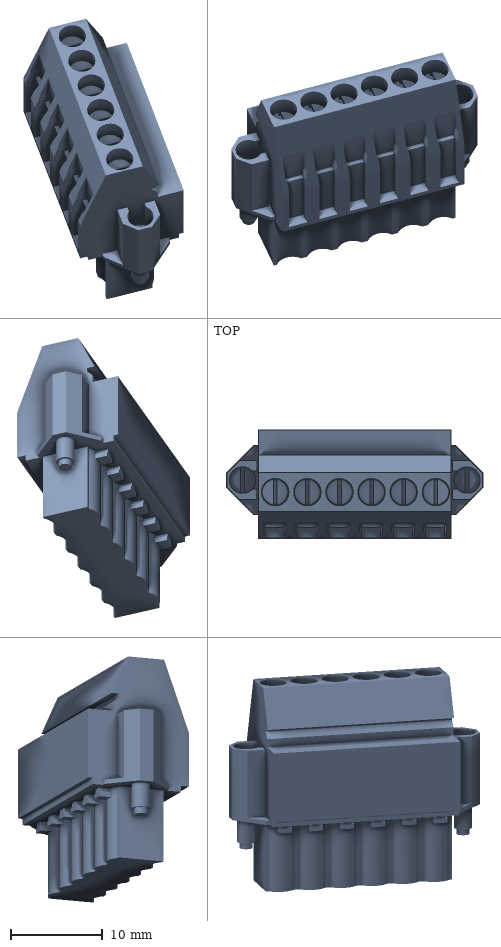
import cadquery as cq


POLE_COUNT = 6
OVERALL_LENGTH = 27.95
HOUSING_LENGTH = 21.0
POLE_PITCH = HOUSING_LENGTH / POLE_COUNT
HOUSING_END = HOUSING_LENGTH / 2
POLE_POSITIONS = [(index - (POLE_COUNT - 1) / 2) * POLE_PITCH for index in range(POLE_COUNT)]

BASE_Z = 7.95
STEP_Z = 8.65
FRONT_SLOPE_Z = 14.6
SHELF_Z = 16.37
TOP_Z = 22.6
FRONT_Y = -6.35
BACK_Y = 5.48
STEP_FRONT_Y = -5.4
STEP_BACK_Y = 4.95
TOP_FRONT_Y = -3.4
TOP_BACK_Y = 0.8
NECK_Y = 2.51
GROOVE_Y = 1.85
GROOVE_BOTTOM_Z = 17.27
GROOVE_CORNER_Z = 17.95
GROOVE_TOP_Z = 18.35
LIP_Y = 2.75

PLUG_FRONT_Y = -3.32
PLUG_BACK_Y = 1.93
FLUTE_WIDTH = 2.8
FLUTE_DEPTH = 0.65
RIB_HEIGHT = 0.6

TAB_BACK_Y = 3.77
TAB_FLANGE_WIDTH = 1.45
TAB_WEB_WIDTH = 0.9
TAB_BOTTOM_Z = 6.93
TAB_WEB_Z = 7.52

ENTRY_WIDTH = 2.07
ENTRY_BOTTOM_Z = 9.16
ENTRY_LEDGE_Z = 15.2
ENTRY_BACK_Y = -5.15
FUNNEL_WIDTH = 2.51
FUNNEL_TOP_Z = 19.05
FUNNEL_TAPER_TOP_Z = 16.57
FUNNEL_TAPER_BOTTOM_Z = 15.6
FUNNEL_BACK_Y = -4.7

TERMINAL_SCREW_OFFSET = 0.08
TERMINAL_SCREW_Y = -1.3
TERMINAL_HOLE_RADIUS = 1.48
TERMINAL_SCREW_GAP = 0.05
TERMINAL_SCREW_RADIUS = TERMINAL_HOLE_RADIUS - TERMINAL_SCREW_GAP
TERMINAL_SCREW_RECESS = 1.95
TERMINAL_SCREW_TOP_Z = TOP_Z - TERMINAL_SCREW_RECESS
TERMINAL_SCREW_BOTTOM_Z = 15.1

FLANGE_END = OVERALL_LENGTH / 2
FLANGE_END_HALF_WIDTH = 0.78
FLANGE_HALF_WIDTH = 3.77
FLANGE_CHAMFER = FLANGE_HALF_WIDTH - FLANGE_END_HALF_WIDTH
PLATE_TOP_Z = 8.47
POST_TOP_Z = 16.0
POST_HALF_WIDTH = 2.12
POST_GAP = 0.15
POST_OPENING_WIDTH = 1.95

FLANGE_SCREW_X = 12.25
FLANGE_HEAD_RADIUS = 1.42
FLANGE_SHAFT_RADIUS = 1.0
FLANGE_TIP_RADIUS = 0.73
FLANGE_HEAD_TOP_Z = 12.57
FLANGE_SEAT_Z = PLATE_TOP_Z
FLANGE_SHAFT_BOTTOM_Z = 5.28
FLANGE_TIP_BOTTOM_Z = 4.58

DRIVER_SLOT_WIDTH = 0.4
DRIVER_SLOT_DEPTH = 0.55


def block(x_min, x_max, y_min, y_max, z_min, z_max):
    """Box between the given limits."""
    size = (x_max - x_min, y_max - y_min, z_max - z_min)
    return cq.Workplane("XY").box(*size, centered=False).translate((x_min, y_min, z_min))


def centred_block(x, width, y_min, y_max, z_min, z_max):
    """Box of the given width centred on x."""
    return block(x - width / 2, x + width / 2, y_min, y_max, z_min, z_max)


def cylinder(x, y, radius, z_min, z_max):
    """Upright cylinder between two heights."""
    return cq.Workplane("XY", origin=(x, y, z_min)).circle(radius).extrude(z_max - z_min)


def housing_block():
    """Side profile of the housing, extruded along the row of poles."""
    profile = [
        (STEP_FRONT_Y, BASE_Z),
        (STEP_FRONT_Y, STEP_Z),
        (FRONT_Y, STEP_Z),
        (FRONT_Y, FRONT_SLOPE_Z),
        (TOP_FRONT_Y, TOP_Z),
        (TOP_BACK_Y, TOP_Z),
        (LIP_Y, GROOVE_TOP_Z),
        (GROOVE_Y, GROOVE_TOP_Z),
        (GROOVE_Y, GROOVE_CORNER_Z),
        (NECK_Y, GROOVE_BOTTOM_Z),
        (NECK_Y, SHELF_Z),
        (BACK_Y, SHELF_Z),
        (BACK_Y, STEP_Z),
        (STEP_BACK_Y, STEP_Z),
        (STEP_BACK_Y, BASE_Z),
    ]
    return cq.Workplane("YZ").polyline(profile).close().extrude(HOUSING_END, both=True)


def plug():
    """Plug with a hollow flute in front and a rounded rib behind at every pole."""
    outline = cq.Workplane("XY").moveTo(-HOUSING_END, PLUG_FRONT_Y)
    for x in POLE_POSITIONS:
        outline = outline.lineTo(x - FLUTE_WIDTH / 2, PLUG_FRONT_Y).threePointArc(
            (x, PLUG_FRONT_Y + FLUTE_DEPTH), (x + FLUTE_WIDTH / 2, PLUG_FRONT_Y)
        )
    outline = outline.lineTo(HOUSING_END, PLUG_FRONT_Y).lineTo(HOUSING_END, PLUG_BACK_Y)
    for x in reversed(POLE_POSITIONS):
        outline = outline.lineTo(x + FLUTE_WIDTH / 2, PLUG_BACK_Y).threePointArc(
            (x, PLUG_BACK_Y + RIB_HEIGHT), (x - FLUTE_WIDTH / 2, PLUG_BACK_Y)
        )
    return outline.lineTo(-HOUSING_END, PLUG_BACK_Y).close().extrude(BASE_Z)


def coding_tab(x):
    """Upside-down T that hangs under the housing behind one pole."""
    flange = centred_block(x, TAB_FLANGE_WIDTH, PLUG_BACK_Y, TAB_BACK_Y, TAB_BOTTOM_Z, TAB_WEB_Z)
    web = centred_block(x, TAB_WEB_WIDTH, PLUG_BACK_Y, TAB_BACK_Y, TAB_WEB_Z, BASE_Z)
    return flange.union(web)


def wire_entry(x):
    """Cutter for one wire entry: a straight pocket below a shallower, wider funnel."""
    pocket = centred_block(x, ENTRY_WIDTH, FRONT_Y, ENTRY_BACK_Y, ENTRY_BOTTOM_Z, ENTRY_LEDGE_Z)
    funnel = (
        cq.Workplane("XZ", origin=(x, FUNNEL_BACK_Y, 0))
        .moveTo(-ENTRY_WIDTH / 2, ENTRY_LEDGE_Z)
        .lineTo(-ENTRY_WIDTH / 2, FUNNEL_TAPER_BOTTOM_Z)
        .lineTo(-FUNNEL_WIDTH / 2, FUNNEL_TAPER_TOP_Z)
        .lineTo(-FUNNEL_WIDTH / 2, FUNNEL_TOP_Z)
        .lineTo(FUNNEL_WIDTH / 2, FUNNEL_TOP_Z)
        .lineTo(FUNNEL_WIDTH / 2, FUNNEL_TAPER_TOP_Z)
        .lineTo(ENTRY_WIDTH / 2, FUNNEL_TAPER_BOTTOM_Z)
        .lineTo(ENTRY_WIDTH / 2, ENTRY_LEDGE_Z)
        .close()
        .extrude(FUNNEL_BACK_Y - FRONT_Y)
    )
    return pocket.union(funnel)


def terminal_screw_hole(x):
    """Cutter for the blind hole above and around one terminal screw."""
    return cylinder(x, TERMINAL_SCREW_Y, TERMINAL_HOLE_RADIUS, TERMINAL_SCREW_BOTTOM_Z, TOP_Z)


def flange_prism(height):
    """Pointed outline of the -X flange, raised to the given height."""
    outline = [
        (-HOUSING_END, -FLANGE_HALF_WIDTH),
        (-FLANGE_END + FLANGE_CHAMFER, -FLANGE_HALF_WIDTH),
        (-FLANGE_END, -FLANGE_END_HALF_WIDTH),
        (-FLANGE_END, FLANGE_END_HALF_WIDTH),
        (-FLANGE_END + FLANGE_CHAMFER, FLANGE_HALF_WIDTH),
        (-HOUSING_END, FLANGE_HALF_WIDTH),
    ]
    return cq.Workplane("XY", origin=(0, 0, BASE_Z)).polyline(outline).close().extrude(height)


def left_flange():
    """Plate and post at the -X end, with the stepped screw hole and its side opening."""
    post_inner_x = -HOUSING_END - POST_GAP
    plate = flange_prism(PLATE_TOP_Z - BASE_Z)
    post_limits = block(
        -FLANGE_END, post_inner_x, -POST_HALF_WIDTH, POST_HALF_WIDTH, BASE_Z, POST_TOP_Z
    )
    post = flange_prism(POST_TOP_Z - BASE_Z).intersect(post_limits)

    head_hole = cylinder(-FLANGE_SCREW_X, 0, FLANGE_HEAD_RADIUS, FLANGE_SEAT_Z, POST_TOP_Z)
    shaft_hole = cylinder(-FLANGE_SCREW_X, 0, FLANGE_SHAFT_RADIUS, BASE_Z, FLANGE_SEAT_Z)
    opening = block(
        -FLANGE_SCREW_X, post_inner_x,
        -POST_OPENING_WIDTH / 2, POST_OPENING_WIDTH / 2,
        FLANGE_SEAT_Z, POST_TOP_Z,
    )
    return plate.union(post).cut(head_hole).cut(shaft_hole).cut(opening)


def make_housing():
    """Housing with plug, coding tabs, wire entries, screw holes and both flanges."""
    body = housing_block().union(plug())
    for x in POLE_POSITIONS:
        body = body.union(coding_tab(x))
        body = body.cut(wire_entry(x))
        body = body.cut(terminal_screw_hole(x + TERMINAL_SCREW_OFFSET))
    flange = left_flange()
    return body.union(flange).union(flange.mirror("YZ"))


def driver_slot(x, y, radius, head_top_z):
    """Cutter for a driver slot along Y, right across a screw head."""
    return centred_block(
        x, DRIVER_SLOT_WIDTH, y - radius, y + radius, head_top_z - DRIVER_SLOT_DEPTH, head_top_z
    )


def make_terminal_screw(x):
    """Slotted cylinder that rests on the floor of its hole with a narrow gap around it."""
    screw = cylinder(
        x, TERMINAL_SCREW_Y, TERMINAL_SCREW_RADIUS, TERMINAL_SCREW_BOTTOM_Z, TERMINAL_SCREW_TOP_Z
    )
    return screw.cut(driver_slot(x, TERMINAL_SCREW_Y, TERMINAL_SCREW_RADIUS, TERMINAL_SCREW_TOP_Z))


def make_flange_screw(x):
    """Slotted head, a shaft that passes through the flange, and a narrower tip."""
    head = cylinder(x, 0, FLANGE_HEAD_RADIUS, FLANGE_SEAT_Z, FLANGE_HEAD_TOP_Z)
    shaft = cylinder(x, 0, FLANGE_SHAFT_RADIUS, FLANGE_SHAFT_BOTTOM_Z, FLANGE_SEAT_Z)
    tip = cylinder(x, 0, FLANGE_TIP_RADIUS, FLANGE_TIP_BOTTOM_Z, FLANGE_SHAFT_BOTTOM_Z)
    screw = head.union(shaft).union(tip)
    return screw.cut(driver_slot(x, 0, FLANGE_HEAD_RADIUS, FLANGE_HEAD_TOP_Z))


housing = make_housing()
terminal_screws = [make_terminal_screw(x + TERMINAL_SCREW_OFFSET) for x in POLE_POSITIONS]
flange_screws = [make_flange_screw(x) for x in (-FLANGE_SCREW_X, FLANGE_SCREW_X)]

result = cq.Compound.makeCompound(
    [housing.val()]
    + [screw.val() for screw in terminal_screws]
    + [screw.val() for screw in flange_screws]
)